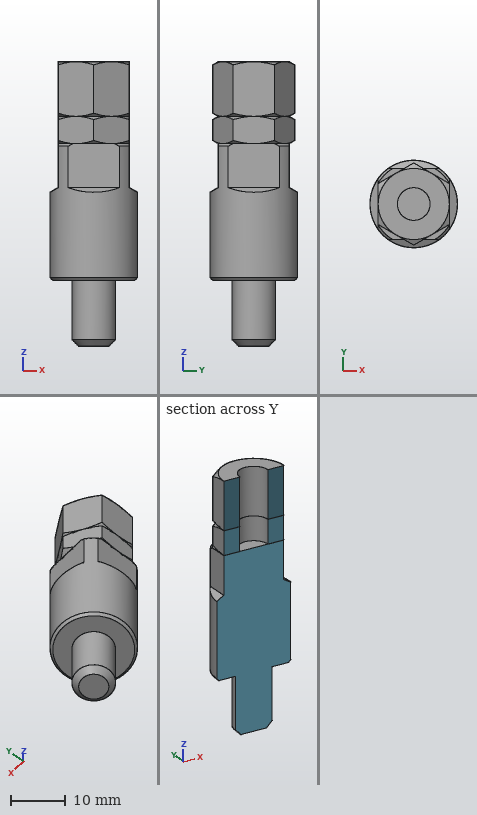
import cadquery as cq
import math

total_height = 52.0
cap_nut_height = 10.0
lock_nut_height = 5.0
pin_length = 12.0

housing_diameter = 16.0
housing_bottom_chamfer = 0.5
housing_top_chamfer = 0.45
pin_diameter = 8.0
pin_tip_chamfer = 1.25

across_flats = 13.0
flats_bottom_z = 29.0
bevel_slope = math.tan(math.radians(30))

bore_diameter = 6.0

cap_nut_z = total_height - cap_nut_height
lock_nut_z = cap_nut_z - lock_nut_height
housing_length = lock_nut_z - pin_length
flat_radius = across_flats / 2
housing_radius = housing_diameter / 2
hex_corner_radius = flat_radius / math.cos(math.radians(30))


def make_flat_cutter():
    """Cutter for the +X flat, with a sloped shoulder falling outward."""
    outer_x = housing_diameter
    outer_z = flats_bottom_z - (outer_x - flat_radius) * bevel_slope
    return (
        cq.Workplane("XZ")
        .moveTo(flat_radius, flats_bottom_z)
        .lineTo(outer_x, outer_z)
        .lineTo(outer_x, total_height)
        .lineTo(flat_radius, total_height)
        .close()
        .extrude(housing_radius, both=True)
    )


def make_housing():
    """Round housing with a square wrench section and a pin below."""
    pin = cq.Workplane("XY").circle(pin_diameter / 2).extrude(pin_length)
    pin = pin.faces("<Z").chamfer(pin_tip_chamfer)
    barrel = cq.Workplane("XY", origin=(0, 0, pin_length)).circle(housing_radius).extrude(housing_length)
    barrel = barrel.faces("<Z").chamfer(housing_bottom_chamfer)
    barrel = barrel.faces(">Z").chamfer(housing_top_chamfer)
    cutter = make_flat_cutter()
    for angle in (0, 90, 180, 270):
        barrel = barrel.cut(cutter.rotate((0, 0, 0), (0, 0, 1), angle))
    return barrel.union(pin).solids()


def make_hex_nut(bottom_z, height):
    """Bored hexagon nut, corners on the Y axis, with both ends bevelled."""
    hexagon = (
        cq.Workplane("XY", origin=(0, 0, bottom_z))
        .polygon(6, 2 * hex_corner_radius)
        .extrude(height)
        .rotate((0, 0, 0), (0, 0, 1), 90)
    )
    bevel_height = (hex_corner_radius - flat_radius) * bevel_slope
    top_z = bottom_z + height
    bevel_envelope = (
        cq.Workplane("XZ")
        .moveTo(0, bottom_z)
        .lineTo(flat_radius, bottom_z)
        .lineTo(hex_corner_radius, bottom_z + bevel_height)
        .lineTo(hex_corner_radius, top_z - bevel_height)
        .lineTo(flat_radius, top_z)
        .lineTo(0, top_z)
        .close()
        .revolve(360, (0, 0, 0), (0, 1, 0))
    )
    bore = cq.Workplane("XY", origin=(0, 0, bottom_z)).circle(bore_diameter / 2).extrude(height)
    return hexagon.intersect(bevel_envelope).cut(bore).solids()


housing = make_housing()
lock_nut = make_hex_nut(lock_nut_z, lock_nut_height)
cap_nut = make_hex_nut(cap_nut_z, cap_nut_height)

result = cq.Compound.makeCompound([housing.val(), lock_nut.val(), cap_nut.val()])